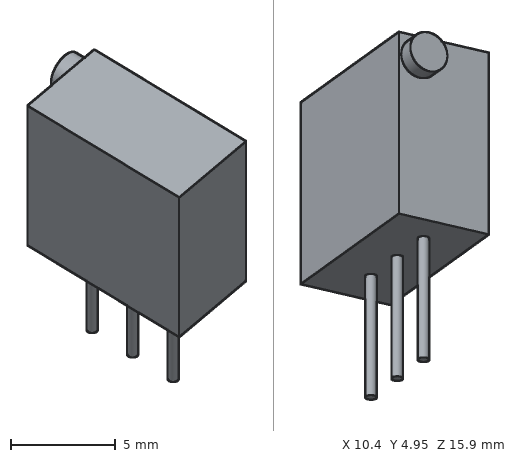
import cadquery as cq

housing_length = 9.53
housing_depth = 4.95
housing_height = 9.53

screw_diameter = 2.03
screw_length = 0.89
screw_back_inset = 1.15
screw_top_inset = 1.15

pin_count = 3
pin_diameter = 0.55
pin_length = 6.35
pin_pitch = 2.54
first_pin_x = 1.95
pin_row_y = 2.5


def make_housing():
    return cq.Workplane("XY").box(housing_length, housing_depth, housing_height, centered=False)


def make_screw():
    """Cylinder whose flat end touches the left face of the housing."""
    axis_y = housing_depth - screw_back_inset
    axis_z = housing_height - screw_top_inset
    return (
        cq.Workplane("YZ")
        .center(axis_y, axis_z)
        .circle(screw_diameter / 2)
        .extrude(-screw_length)
    )


def make_pin(x):
    """Straight lead hanging from the underside of the housing."""
    return cq.Workplane("XY").center(x, pin_row_y).circle(pin_diameter / 2).extrude(-pin_length)


housing = make_housing()
screw = make_screw()
pins = [make_pin(first_pin_x + i * pin_pitch) for i in range(pin_count)]

result = cq.Compound.makeCompound([housing.val(), screw.val(), *[pin.val() for pin in pins]])